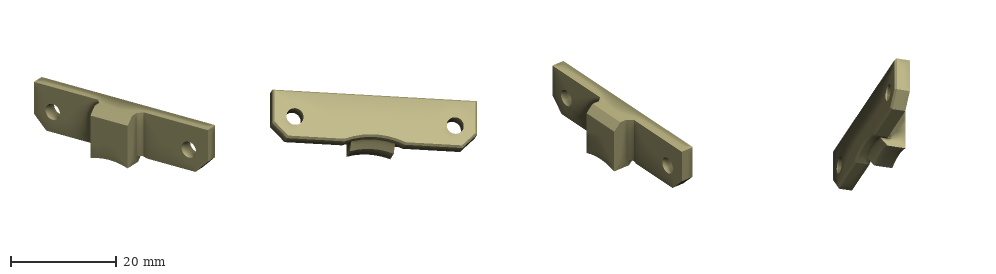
import cadquery as cq
import math

length = 39.6
depth = 7.0
height = 10.4

plate_thickness = 2.97
plate_height = 9.45
corner_chamfer = 2.85
back_chamfer = 0.4
top_trim = 0.1
hole_diameter = 3.3
hole_spacing = 30.95
hole_drop = 5.2

boss_width = 8.47
boss_top_chamfer = 1.5
web_width = 0.95
web_depth = 1.05

boss_arc_radius = 13.2
plate_arc_radius = 14.65
cone_start = 3.6

half_boss = boss_width / 2
arc_center_z = -height - math.sqrt(boss_arc_radius**2 - half_boss**2)
boss_front = -depth
flare_front = boss_front + cone_start
flare_depth = plate_arc_radius - boss_arc_radius


def cylinder_along_y(radius, y_start, y_end):
    """Solid cylinder on the axis shared by the underside arcs."""
    return cq.Workplane("XY").add(
        cq.Solid.makeCylinder(
            radius,
            y_end - y_start,
            cq.Vector(0, y_start, arc_center_z),
            cq.Vector(0, 1, 0),
        )
    )


def make_plate():
    """Plate with clipped lower corners, arched underside and bevelled back."""
    untrimmed_height = plate_height + top_trim
    plate = (
        cq.Workplane("XY")
        .box(length, plate_thickness, untrimmed_height)
        .translate((0, -plate_thickness / 2, top_trim - untrimmed_height / 2))
        .edges("|Y and <Z")
        .chamfer(corner_chamfer)
    )
    plate = plate.cut(cylinder_along_y(plate_arc_radius, boss_front, 0))
    plate = plate.faces(">Y").edges().chamfer(back_chamfer)
    trim = (
        cq.Workplane("XY")
        .box(length, plate_thickness, top_trim)
        .translate((0, -plate_thickness / 2, top_trim / 2))
    )
    return plate.cut(trim)


def make_webs():
    """Sloped webs joining the plate front to both boss sides."""
    web_back = -plate_thickness
    half_web = half_boss + web_width
    webs = (
        cq.Workplane("XY")
        .polyline([
            (-half_web, web_back),
            (-half_boss, web_back - web_depth),
            (half_boss, web_back - web_depth),
            (half_web, web_back),
        ])
        .close()
        .extrude(-plate_height)
    )
    return webs.cut(cylinder_along_y(plate_arc_radius, boss_front, 0))


def make_boss():
    """Boss with a bevelled top front edge and a flared concave underside."""
    boss_depth = cone_start + flare_depth
    boss = (
        cq.Workplane("XY")
        .box(boss_width, boss_depth, height)
        .translate((0, boss_front + boss_depth / 2, -height / 2))
        .edges("<Y and >Z")
        .chamfer(boss_top_chamfer)
    )
    flare = cq.Solid.makeCone(
        boss_arc_radius,
        plate_arc_radius,
        flare_depth,
        cq.Vector(0, flare_front, arc_center_z),
        cq.Vector(0, 1, 0),
    )
    boss = boss.cut(cylinder_along_y(boss_arc_radius, boss_front, 0))
    return boss.cut(cq.Workplane("XY").add(flare))


def make_holes():
    """Two through-hole cutters, one in each plate arm."""
    return (
        cq.Workplane("XZ")
        .pushPoints([(side * hole_spacing / 2, -hole_drop) for side in (-1, 1)])
        .circle(hole_diameter / 2)
        .extrude(plate_thickness)
    )


result = make_plate().union(make_webs()).union(make_boss()).cut(make_holes())